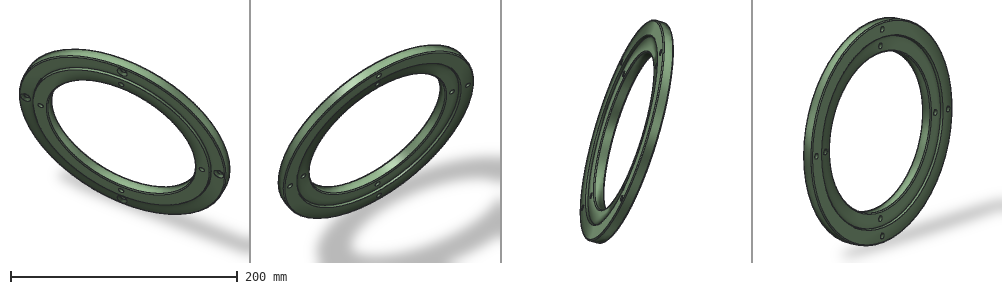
import cadquery as cq

outer_diameter = 203.0
radial_gap = 1.0
inner_ring_diameter = 173.0
outer_ring_bore = inner_ring_diameter + 2 * radial_gap
inner_ring_bore = 145.0

total_depth = 12.0
front_step = 2.0
ring_depth = total_depth - front_step
inner_front_y = -total_depth / 2
outer_front_y = inner_front_y + front_step

edge_chamfer = 1.0

hole_count = 4
hole_diameter = 5.0
countersink_diameter = 9.7
countersink_angle = 90
outer_hole_circle_radius = 94.8
inner_hole_circle_radius = 79.2


def front_plane(front_y):
    """Plane on a front face, with its normal pointing towards -Y."""
    return cq.Workplane("XZ", origin=(0, front_y, 0))


def plain_ring(diameter, bore, front_y):
    """Flat ring extending back from its front face."""
    return front_plane(front_y).circle(diameter / 2).circle(bore / 2).extrude(-ring_depth)


def hole_centres(ring, circle_radius):
    """Evenly spaced hole positions on the front face of a ring."""
    face = ring.faces("<Y").workplane(centerOption="CenterOfBoundBox")
    return face.polarArray(circle_radius, 0, 360, hole_count)


def make_outer_ring():
    """Ring with chamfered rims and countersunk screw holes."""
    ring = plain_ring(outer_diameter, outer_ring_bore, outer_front_y)
    rims = cq.selectors.RadiusNthSelector(-1)
    ring = ring.edges(rims).chamfer(edge_chamfer)
    return hole_centres(ring, outer_hole_circle_radius).cskHole(
        hole_diameter, countersink_diameter, countersink_angle
    )


def make_inner_ring():
    """Ring set forward of the outer ring, with chamfered bore and plain holes."""
    ring = plain_ring(inner_ring_diameter, inner_ring_bore, inner_front_y)
    bore_rims = cq.selectors.RadiusNthSelector(0)
    ring = ring.edges(bore_rims).chamfer(edge_chamfer)
    return hole_centres(ring, inner_hole_circle_radius).hole(hole_diameter)


outer_ring = make_outer_ring()
inner_ring = make_inner_ring()

result = cq.Compound.makeCompound([outer_ring.val(), inner_ring.val()])